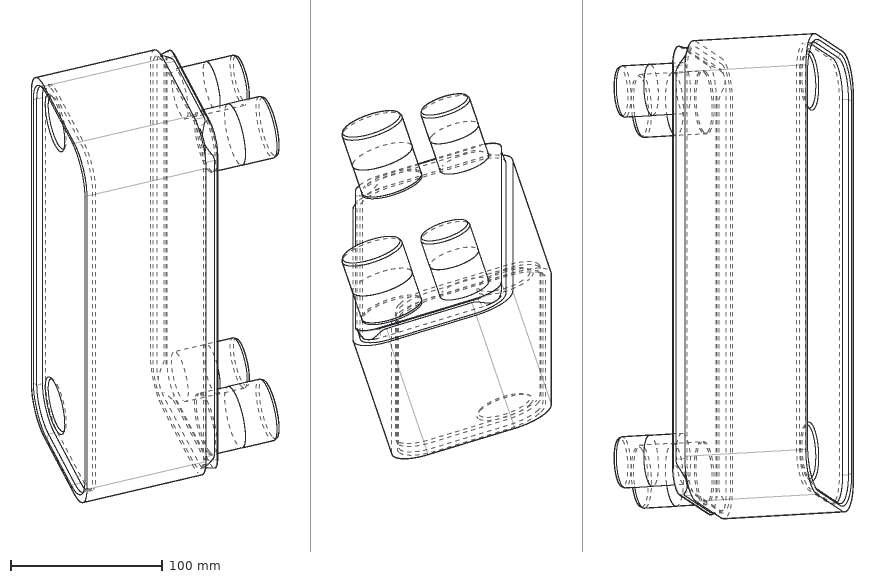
import cadquery as cq


pack_width = 111.0
pack_height = 310.0
pack_depth = 83.5
pack_corner_radius = 25.5

mouth_width = 103.0
mouth_height = 304.5
mouth_corner_radius = 27.0
mouth_depth = 2.0
pocket_width = 100.0
pocket_height = 300.0
pocket_corner_radius = 23.5
pocket_depth = 6.0

cover_thickness = 2.2
pocket_floor = pocket_depth + cover_thickness
dimple_diameter = 39.0
dimple_floor_diameter = 36.0
dimple_depth = 1.5

collar_width = 101.5
collar_height = 302.2
collar_corner_radius = 21.0
collar_length = 9.0
collar_taper = 0.5

rear_width = collar_width
rear_height = collar_height
rear_corner_radius = 16.7
rear_root_corner_radius = 12.7
rear_flare = 2.5
rear_lip = 0.5
rear_start = pack_depth + 2.2
rear_face = pack_depth + 10.0

port_offset_x = 25.0
port_offset_z = 125.0
port_chamfer_length = 2.0
port_chamfer_depth = 1.0
port_relief = 0.12
large_port_diameter = 42.0
large_port_length = 45.0
large_port_end_length = 24.0
small_port_diameter = 34.0
small_port_length = 43.0
small_port_end_length = 20.8
seat_height = 1.2


def rounded_outline(width, height, radius):
    """Rounded rectangle centred on the origin."""
    return cq.Sketch().rect(width, height).vertices().fillet(radius)


def straight_block(front_y, back_y, outline):
    """Block with one outline from front_y to back_y."""
    return cq.Workplane("XZ", origin=(0, front_y, 0)).placeSketch(outline).extrude(front_y - back_y)


def tapered_block(front_y, back_y, front_outline, back_outline):
    """Block that blends from one outline at front_y to another at back_y."""
    back_place = cq.Location(cq.Vector(0, 0, front_y - back_y))
    plane = cq.Workplane("XZ", origin=(0, front_y, 0))
    return plane.placeSketch(front_outline, back_outline.moved(back_place)).loft()


def make_front_cover(pocket_outline):
    """Plate on the pocket floor, with conical dimples."""
    plate = straight_block(pocket_depth, pocket_floor, pocket_outline)
    for z in (-port_offset_z, port_offset_z):
        dimple = cq.Solid.makeCone(
            dimple_diameter / 2,
            dimple_floor_diameter / 2,
            dimple_depth,
            cq.Vector(-port_offset_x, pocket_depth, z),
            cq.Vector(0, 1, 0),
        )
        plate = plate.cut(cq.Workplane(dimple))
    return plate


def make_rear_cover():
    """Flared cover with a narrow straight lip and a raised seat for each large port."""
    flare_start_outline = rounded_outline(
        rear_width - 2 * rear_flare,
        rear_height - 2 * rear_flare,
        rear_root_corner_radius,
    )
    rear_outline = rounded_outline(rear_width, rear_height, rear_corner_radius)
    lip_start = rear_face - rear_lip
    flare = tapered_block(rear_start, lip_start, flare_start_outline, rear_outline)
    lip = straight_block(lip_start, rear_face, rear_outline)
    seats = (
        cq.Workplane("XZ", origin=(0, rear_face, 0))
        .pushPoints([(port_offset_x, -port_offset_z), (port_offset_x, port_offset_z)])
        .circle(large_port_diameter / 2)
        .extrude(-seat_height)
    )
    return flare.union(lip).union(seats)


def make_pack(pocket_outline, rear_cover):
    """Block and collar, open at the front and recessed at the rear to fit the rear cover."""
    block_outline = rounded_outline(pack_width, pack_height, pack_corner_radius)
    block = straight_block(0, pack_depth, block_outline)

    collar_start_outline = rounded_outline(collar_width, collar_height, collar_corner_radius)
    collar_end_outline = rounded_outline(
        collar_width - 2 * collar_taper,
        collar_height - 2 * collar_taper,
        collar_corner_radius - collar_taper,
    )
    collar = tapered_block(
        pack_depth, pack_depth + collar_length, collar_start_outline, collar_end_outline
    )

    mouth_outline = rounded_outline(mouth_width, mouth_height, mouth_corner_radius)
    mouth = tapered_block(0, mouth_depth, mouth_outline, pocket_outline)
    pocket = straight_block(mouth_depth, pocket_floor, pocket_outline)
    return block.union(collar).cut(mouth).cut(pocket).cut(rear_cover)


def make_port(x, z, diameter, start_y, end_y, end_length):
    """Solid round port with a chamfered end section on a slightly slimmer root."""
    radius = diameter / 2
    step_y = end_y - end_length
    profile = [
        (0, start_y),
        (port_relief - radius, start_y),
        (port_relief - radius, step_y),
        (-radius, step_y),
        (-radius, end_y - port_chamfer_length),
        (port_chamfer_depth - radius, end_y),
        (0, end_y),
    ]
    port = cq.Workplane("XY").polyline(profile).close().revolve(360, (0, 0), (0, 1))
    return port.translate((x, 0, z))


pocket_outline = rounded_outline(pocket_width, pocket_height, pocket_corner_radius)
front_cover = make_front_cover(pocket_outline)
rear_cover = make_rear_cover()
pack = make_pack(pocket_outline, rear_cover)

large_ports = []
small_ports = []
for port_z in (-port_offset_z, port_offset_z):
    large_ports.append(
        make_port(
            port_offset_x,
            port_z,
            large_port_diameter,
            rear_face + seat_height,
            rear_face + large_port_length,
            large_port_end_length,
        )
    )
    small_ports.append(
        make_port(
            -port_offset_x,
            port_z,
            small_port_diameter,
            rear_face,
            rear_face + small_port_length,
            small_port_end_length,
        )
    )

bodies = [pack, front_cover, rear_cover, *large_ports, *small_ports]
result = cq.Compound.makeCompound([body.solids().val() for body in bodies])